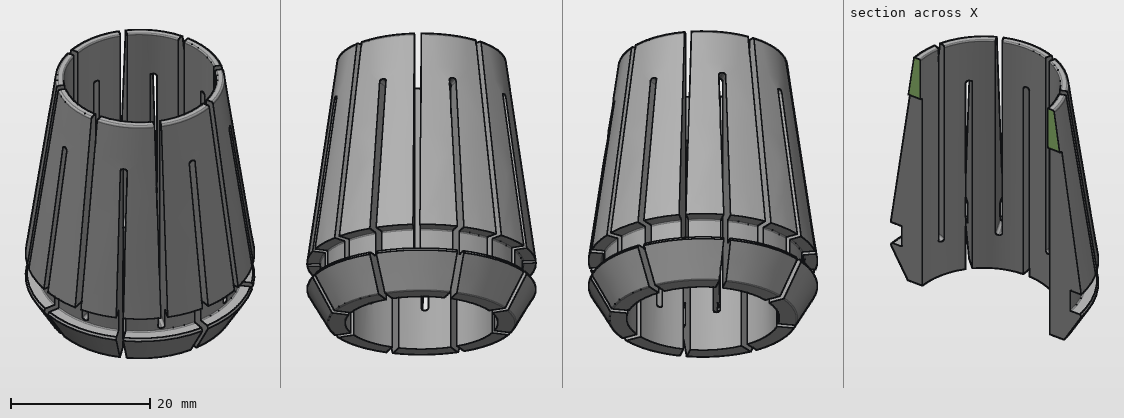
import cadquery as cq
import math

total_height = 40.0
collar_edge_z = 5.1
collar_top_z = 5.5
body_bottom_z = 9.1

outer_radius = 16.5
neck_radius = 14.55
bore_radius = 11.0

body_taper = 8.0
collar_taper = 30.0
collar_bevel_width = 0.25
rim_fillet = 0.3
bore_fillet = 0.2
collar_bottom_fillet = 0.25
neck_fillet = 0.15

slot_width = 1.0
slot_corner_radius = 0.45
lower_slot_end_z = 33.0
upper_slot_end_z = 5.9
slots_per_end = 8
slot_pitch = 360.0 / slots_per_end

collar_bottom_radius = outer_radius - collar_edge_z * math.tan(math.radians(collar_taper))


def body_radius(z):
    """Radius of the long taper at height z."""
    return outer_radius - (z - body_bottom_z) * math.tan(math.radians(body_taper))


def circles_of_radius(body, radius):
    """All circular edges of the body that have the given radius."""
    return body.edges("%CIRCLE").filter(lambda edge: math.isclose(edge.radius(), radius, abs_tol=4e-05))


def make_sleeve():
    """Revolved sleeve: collar, neck groove and long taper around a plain bore."""
    profile = [
        (bore_radius, 0),
        (collar_bottom_radius, 0),
        (outer_radius, collar_edge_z),
        (outer_radius - collar_bevel_width, collar_top_z),
        (neck_radius, collar_top_z),
        (neck_radius, body_bottom_z),
        (outer_radius, body_bottom_z),
        (body_radius(total_height), total_height),
        (bore_radius, total_height),
    ]
    blank = cq.Workplane("XZ").polyline(profile).close().revolve(360, (0, 0, 0), (0, 1, 0))
    sleeve = circles_of_radius(blank, neck_radius).fillet(neck_fillet)
    sleeve = circles_of_radius(sleeve, collar_bottom_radius).fillet(collar_bottom_fillet)
    sleeve = circles_of_radius(sleeve, body_radius(total_height)).fillet(rim_fillet)
    return circles_of_radius(sleeve.faces(">Z"), bore_radius).fillet(bore_fillet)


def slot_cutter(round_end_z, open_end_z, angle):
    """Radial cutter from the axis outwards, rounded at one end and open at the other."""
    reach = outer_radius + slot_width
    end_face = "<Z" if open_end_z > round_end_z else ">Z"
    return (
        cq.Workplane("XY", origin=(0, 0, round_end_z))
        .center(reach / 2, 0)
        .rect(reach, slot_width)
        .extrude(open_end_z - round_end_z)
        .faces(end_face)
        .edges("|X")
        .fillet(slot_corner_radius)
        .rotate((0, 0, 0), (0, 0, 1), angle)
    )


result = make_sleeve()
for index in range(slots_per_end):
    lower_angle = index * slot_pitch
    upper_angle = lower_angle + slot_pitch / 2
    result = result.cut(slot_cutter(lower_slot_end_z, 0, lower_angle))
    result = result.cut(slot_cutter(upper_slot_end_z, total_height, upper_angle))